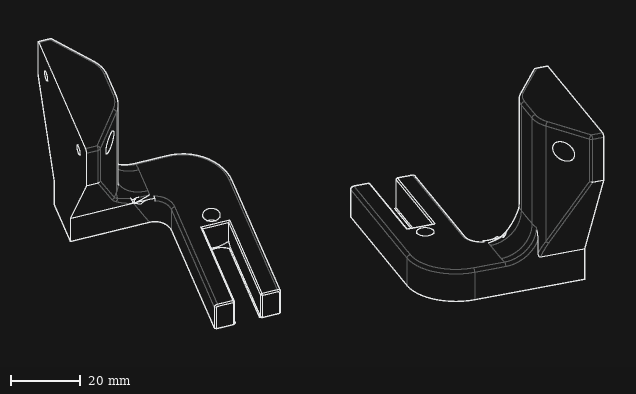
import cadquery as cq

overall_length = 75.0
overall_depth = 49.0
overall_height = 55.0

edge_round = 1.0
prong_bevel = 0.45

plate_width = 45.0
plate_depth = 15.0
plate_rim_depth = 4.0
plate_straight_height = 15.0
plate_crest_radius = 10.0
taper_top = overall_height - plate_straight_height

arm_thickness = 10.0
stem_width = 15.0
stem_left = (plate_width - stem_width) / 2
stem_right = stem_left + stem_width
beam_width = 20.0
beam_front = overall_depth - beam_width
beam_middle = overall_depth - beam_width / 2
outer_bend_radius = 15.0
inner_bend_radius = 5.0

root_radius = 9.5
root_top = arm_thickness + root_radius
root_end = plate_depth + root_radius + edge_round

hole_diameter = 3.0
plate_hole_inset = 7.5
plate_bore_diameter = 6.0
plate_bore_floor = plate_rim_depth
arm_hole_x = 41.25
arm_bore_diameter = 5.0
arm_bore_depth = arm_thickness / 2

slot_start = 45.2
slot_width = 7.9
mouth_start = 45.45
mouth_width = 7.2
mouth_end_radius = 5.55

near = 0.1


def block(x_range, y_range, z_range):
    """Axis-aligned box between the given limits."""
    starts = [limits[0] for limits in (x_range, y_range, z_range)]
    sizes = [limits[1] - limits[0] for limits in (x_range, y_range, z_range)]
    return cq.Workplane("XY").box(*sizes, centered=False).translate(tuple(starts))


def plate_plan(height):
    """Plate seen from above: thin rims at both ends, sloping up to a crest with rounded corners."""
    return (
        cq.Workplane("XY")
        .polyline([
            (0, 0),
            (plate_width, 0),
            (plate_width, plate_rim_depth),
            (stem_right, plate_depth),
            (stem_left, plate_depth),
            (0, plate_rim_depth),
        ])
        .close()
        .extrude(height)
        .edges("|Z and >Y")
        .fillet(plate_crest_radius)
    )


def plate_front(depth):
    """Plate seen from the front: a foot as wide as the stem, tapering out to the full width."""
    return (
        cq.Workplane("XZ")
        .polyline([
            (stem_left, 0),
            (stem_right, 0),
            (stem_right, arm_thickness),
            (plate_width, taper_top),
            (plate_width, overall_height),
            (0, overall_height),
            (0, taper_top),
            (stem_left, arm_thickness),
        ])
        .close()
        .extrude(-depth)
    )


def arm_blank():
    """Arm with sharp edges: stem, bend and beam in one outline."""
    return (
        cq.Workplane("XY")
        .moveTo(stem_left, 0)
        .lineTo(stem_right, 0)
        .lineTo(stem_right, beam_front - inner_bend_radius)
        .radiusArc((stem_right + inner_bend_radius, beam_front), inner_bend_radius)
        .lineTo(overall_length, beam_front)
        .lineTo(overall_length, overall_depth)
        .lineTo(stem_left + outer_bend_radius, overall_depth)
        .radiusArc((stem_left, overall_depth - outer_bend_radius), -outer_bend_radius)
        .close()
        .extrude(arm_thickness)
    )


def is_plate_rim(edge):
    """Edges around the back and the top ends, without the foot and the upright lines of the back."""
    box = edge.BoundingBox()
    on_front = box.ymax < near
    in_foot = box.zmin < arm_thickness - near or box.zmax < arm_thickness + near
    crest_crease = box.xlen < near and box.ymin > plate_rim_depth + near
    taper_corner = box.zlen < near and box.zmax < taper_top + near
    return not (on_front or in_foot or crest_crease or taper_corner)


def make_plate():
    """Plate with its back and top-end edges rounded."""
    plate = plate_plan(overall_height).intersect(plate_front(plate_depth))
    rim = plate.edges().filter(is_plate_rim)
    return rim.fillet(edge_round)


def is_root_corner(edge):
    """Edges where the back of the plate meets the slab that carries it."""
    box = edge.BoundingBox()
    level = abs(box.zmin - arm_thickness) < near and box.zlen < near
    behind_plate = box.ymin > plate_rim_depth - near and box.ymax < plate_depth + near
    return level and behind_plate


def is_stem_left_edge(edge):
    """Left edge of the stem, its sweep up the root and the upright that follows."""
    box = edge.BoundingBox()
    on_left = box.xmax < stem_left + near
    return on_left and box.ymin > plate_rim_depth and box.zmin > arm_thickness - near


def is_gusset_edge(edge):
    """Right edge of the root where it runs out over the taper, and the taper edge that follows."""
    box = edge.BoundingBox()
    on_right = box.xmin > stem_right - near and box.ymax > plate_rim_depth + near
    rising = box.xlen > near and box.zlen > near
    return on_right and rising


def make_root():
    """Stem end with the concave round that carries the plate and follows its crest."""
    slab = block((0, plate_width), (0, overall_depth), (0, arm_thickness))
    carried = slab.union(plate_plan(overall_height))
    rounded = carried.edges().filter(is_root_corner).fillet(root_radius)
    stem_zone = block((stem_left, plate_width), (0, root_end), (0, overall_height))
    trimmed = rounded.intersect(plate_front(root_end)).intersect(stem_zone)
    softened = trimmed.edges().filter(is_stem_left_edge).fillet(edge_round)
    softened = softened.edges().filter(is_gusset_edge).fillet(edge_round)
    below_plate = block((stem_left, plate_width), (0, root_end), (0, root_top))
    return softened.intersect(below_plate)


def make_upright():
    """Root with the plate above it and the plate's left flank beside it."""
    plate = make_plate()
    flank_end = stem_left + 2 * edge_round
    left_flank = plate.intersect(block((0, flank_end), (0, plate_depth), (arm_thickness, root_top)))
    upper_plate = plate.intersect(block((0, plate_width), (0, plate_depth), (root_top, overall_height)))
    return make_root().union(left_flank).union(upper_plate)


def make_slot():
    """Straight-walled slot whose mouth at Z = 0 is narrower and closes with a shallow arc."""
    half_mouth = mouth_width / 2
    half_slot = slot_width / 2
    flare_height = half_slot - half_mouth
    mouth_center = mouth_start + mouth_end_radius
    walls = block(
        (slot_start, overall_length),
        (beam_middle - half_slot, beam_middle + half_slot),
        (0, arm_thickness),
    )
    flared_sides = (
        cq.Workplane("YZ", origin=(0, beam_middle, 0))
        .polyline([
            (-half_mouth, 0),
            (half_mouth, 0),
            (half_slot, flare_height),
            (half_slot, arm_thickness),
            (-half_slot, arm_thickness),
            (-half_slot, flare_height),
        ])
        .close()
        .extrude(overall_length)
    )
    cone_end = cq.Workplane(cq.Solid.makeCone(
        mouth_end_radius,
        mouth_end_radius + arm_thickness,
        arm_thickness,
        cq.Vector(mouth_center, beam_middle, 0),
    ))
    open_end = block((mouth_center, overall_length), (0, overall_depth), (0, arm_thickness))
    return walls.intersect(flared_sides).intersect(cone_end.union(open_end))


def is_arm_outline(edge):
    """Top edges of the bends and the beam sides, leaving out the prong ends."""
    box = edge.BoundingBox()
    on_top = box.zmin > arm_thickness - near
    return on_top and box.ymin > near and box.xmin < overall_length - near


def is_prong_edge(edge):
    """Top rim of the slot and all edges of the prong ends except those on Z = 0."""
    box = edge.BoundingBox()
    reach = slot_width / 2 + near
    inside = box.ymin > beam_middle - reach and box.ymax < beam_middle + reach
    slot_rim = inside and box.zmin > arm_thickness - near and box.xmin > slot_start - near
    prong_end = box.xmin > overall_length - near and box.zmax > near
    return slot_rim or prong_end


def make_arm():
    """Forked beam with rounded edges, joined to the sharp-edged start of the inner bend."""
    blank = arm_blank()
    softened = blank.edges().filter(is_arm_outline).fillet(edge_round)
    forked = softened.cut(make_slot()).edges().filter(is_prong_edge).chamfer(prong_bevel)
    beam_zone = block((0, overall_length), (root_end, overall_depth), (0, arm_thickness))
    bend_zone = block((stem_right, plate_width), (0, root_end), (0, arm_thickness))
    return forked.intersect(beam_zone).union(blank.intersect(bend_zone))


def make_plate_hole(x):
    """Screw hole through the plate with a bore sunk from the sloping back."""
    z = overall_height - plate_hole_inset
    axis = cq.Workplane("XZ", origin=(x, 0, z))
    drill = axis.circle(hole_diameter / 2).extrude(-plate_depth)
    bore = axis.workplane(offset=-plate_bore_floor).circle(plate_bore_diameter / 2).extrude(-plate_depth)
    return drill.union(bore)


def make_arm_hole():
    """Vertical hole through the beam with a bore sunk from the top."""
    axis = cq.Workplane("XY", origin=(arm_hole_x, beam_middle, 0))
    drill = axis.circle(hole_diameter / 2).extrude(arm_thickness)
    bore_floor = arm_thickness - arm_bore_depth
    bore = axis.workplane(offset=bore_floor).circle(arm_bore_diameter / 2).extrude(arm_bore_depth)
    return drill.union(bore)


result = make_upright().union(make_arm()).cut(make_arm_hole())
for hole_x in (plate_hole_inset, plate_width - plate_hole_inset):
    result = result.cut(make_plate_hole(hole_x))